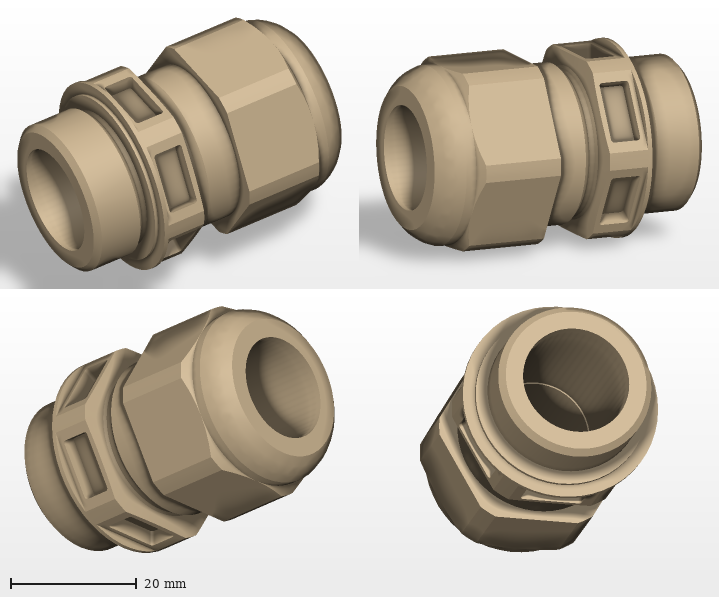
import cadquery as cq
import math

LENGTH = 46.5

FLAT_RADIUS = 14.5
CORNER_RADIUS = 16.0
FLAT_COUNT = 6

THREAD_RADIUS = 12.55
THREAD_RELIEF_RADIUS = 11.55
END_CHAMFER_LENGTH = 0.95
RELIEF_CHAMFER_START = 8.1
RELIEF_START = 9.05

SEAL_START = 9.95
SEAL_RADIUS = 14.05
FLANGE_START = 10.55
FLANGE_THICKNESS = 0.75
FLANGE_END = FLANGE_START + FLANGE_THICKNESS

COLLAR_SHOULDER = 17.95
COLLAR_TOP = 18.4
COLLAR_TOP_RADIUS = 12.35

NECK_GROOVE_START = 18.85
NECK_GROOVE_END = 19.75
NECK_GROOVE_RADIUS = 12.0
NECK_CHAMFER_END = 20.85
NECK_RADIUS = 13.0

NUT_START = 26.45
NUT_SHOULDER = 39.5
NUT_HEX_END = 40.55
DOME_START = 42.2
DOME_MOUTH_RADIUS = 11.55
DOME_BULGE = 0.45

BORE_RADIUS = 8.7
NUT_BORE_RADIUS = 8.45

POCKET_WIDTH = 10.0
POCKET_START = 12.2
POCKET_END = 17.25
POCKET_DEPTH = 2.5
POCKET_CORNER_RADIUS = 0.5


def revolve(profile):
    """Close a (radius, Y) profile and turn it around the Y axis."""
    return profile.close().revolve(360, (0, 0, 0), (0, 1, 0))


def cylinder(radius, start, end):
    """Cylinder on the gland axis; the XZ plane faces -Y, so growing toward +Y is negative."""
    return cq.Workplane("XZ", origin=(0, start, 0)).circle(radius).extrude(start - end)


def hexagon(start, end):
    """Hexagonal prism along Y, flats facing +Z and -Z."""
    across_corners = 2 * FLAT_RADIUS / math.cos(math.pi / FLAT_COUNT)
    base = cq.Workplane("XZ", origin=(0, start, 0))
    return base.polygon(FLAT_COUNT, across_corners).extrude(start - end)


def threaded_entry():
    profile = (
        cq.Workplane("XY")
        .moveTo(0, 0)
        .lineTo(THREAD_RELIEF_RADIUS, 0)
        .lineTo(THREAD_RADIUS, END_CHAMFER_LENGTH)
        .lineTo(THREAD_RADIUS, RELIEF_CHAMFER_START)
        .lineTo(THREAD_RELIEF_RADIUS, RELIEF_START)
        .lineTo(THREAD_RELIEF_RADIUS, SEAL_START)
        .lineTo(0, SEAL_START)
    )
    return revolve(profile)


def flange():
    seal = cylinder(SEAL_RADIUS, SEAL_START, FLANGE_START)
    return seal.union(cylinder(CORNER_RADIUS, FLANGE_START, FLANGE_END))


def pocket_cutters():
    """One rounded rectangular cutter for each collar flat."""
    pocket_length = POCKET_END - POCKET_START
    pocket_centre = (POCKET_START + POCKET_END) / 2
    cutter = (
        cq.Workplane("XY", origin=(0, pocket_centre, FLAT_RADIUS - POCKET_DEPTH))
        .rect(POCKET_WIDTH, pocket_length)
        .extrude(2 * POCKET_DEPTH)
        .edges("|Z")
        .fillet(POCKET_CORNER_RADIUS)
    )
    step = 360 / FLAT_COUNT
    return [cutter.rotate((0, 0, 0), (0, 1, 0), i * step) for i in range(FLAT_COUNT)]


def collar():
    turned = revolve(
        cq.Workplane("XY")
        .moveTo(0, FLANGE_END)
        .lineTo(CORNER_RADIUS, FLANGE_END)
        .lineTo(CORNER_RADIUS, COLLAR_SHOULDER)
        .lineTo(COLLAR_TOP_RADIUS, COLLAR_TOP)
        .lineTo(0, COLLAR_TOP)
    )
    body = hexagon(FLANGE_END, COLLAR_TOP).intersect(turned)
    for cutter in pocket_cutters():
        body = body.cut(cutter)
    return body


def neck():
    profile = (
        cq.Workplane("XY")
        .moveTo(0, COLLAR_TOP)
        .lineTo(COLLAR_TOP_RADIUS, COLLAR_TOP)
        .lineTo(NECK_GROOVE_RADIUS, NECK_GROOVE_START)
        .lineTo(NECK_GROOVE_RADIUS, NECK_GROOVE_END)
        .lineTo(NECK_RADIUS, NECK_CHAMFER_END)
        .lineTo(NECK_RADIUS, NUT_START)
        .lineTo(0, NUT_START)
    )
    return revolve(profile)


def nut_hexagon():
    turned = revolve(
        cq.Workplane("XY")
        .moveTo(0, NUT_START)
        .lineTo(CORNER_RADIUS, NUT_START)
        .lineTo(CORNER_RADIUS, NUT_SHOULDER)
        .lineTo(FLAT_RADIUS, NUT_HEX_END)
        .lineTo(0, NUT_HEX_END)
    )
    return hexagon(NUT_START, NUT_HEX_END).intersect(turned)


def nut_dome():
    profile = (
        cq.Workplane("XY")
        .moveTo(0, NUT_HEX_END)
        .lineTo(FLAT_RADIUS, NUT_HEX_END)
        .lineTo(FLAT_RADIUS, DOME_START)
        .sagittaArc((DOME_MOUTH_RADIUS, LENGTH), -DOME_BULGE)
        .lineTo(0, LENGTH)
    )
    return revolve(profile)


gland = threaded_entry()
for section in (flange(), collar(), neck(), nut_hexagon(), nut_dome()):
    gland = gland.union(section)

gland = gland.cut(cylinder(BORE_RADIUS, 0, NUT_START))
gland = gland.cut(cylinder(NUT_BORE_RADIUS, NUT_START, LENGTH))

result = gland.translate((0, -LENGTH / 2, 0))